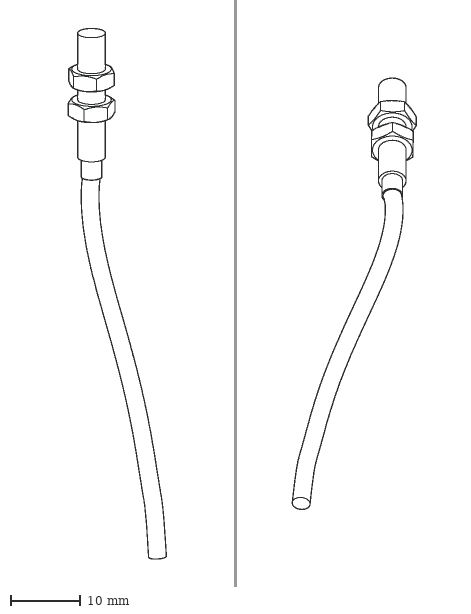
import cadquery as cq
import math


barrel_diameter = 4.0
barrel_length = 19.0
sleeve_diameter = 3.0
sleeve_length = 3.0
sleeve_end_z = -(barrel_length + sleeve_length)

cable_diameter = 2.6
cable_anchor_depth = 0.5
cable_anchor = (0.12, sleeve_end_z + cable_anchor_depth)
cable_end = (16.05, -75.5)
cable_path_points = [
    cable_anchor,
    (0.04, -29.0),
    (5.33, -42.0),
    (12.33, -58.0),
    (14.45, -65.5),
    cable_end,
]
cable_start_slope = 0.28
cable_end_slope = 0.10

nut_across_flats = 6.0
nut_across_corners = nut_across_flats / math.cos(math.radians(30))
nut_thickness = 2.5
nut_face_diameter = 0.95 * nut_across_flats
nut_chamfer_angle = 30.0
upper_nut_top_z = -5.5
nut_gap = 2.2
lower_nut_top_z = upper_nut_top_z - nut_thickness - nut_gap
lower_nut_turn = 6.0
upper_nut_turn = lower_nut_turn + 30.0


def make_cable():
    """Round cable swept along a smooth S-shaped path."""
    path = cq.Workplane("XZ").spline(
        cable_path_points,
        tangents=[(-cable_start_slope, -1.0), (cable_end_slope, -1.0)],
    )
    start_plane = cq.Plane(
        origin=(cable_anchor[0], 0, cable_anchor[1]),
        xDir=(0, 1, 0),
        normal=(-cable_start_slope, 0, -1.0),
    )
    return cq.Workplane(start_plane).circle(cable_diameter / 2).sweep(path)


def make_sensor():
    """Barrel, sleeve and cable as one body."""
    barrel = cq.Workplane("XY").circle(barrel_diameter / 2).extrude(-barrel_length)
    sleeve = (
        cq.Workplane("XY", origin=(0, 0, -barrel_length))
        .circle(sleeve_diameter / 2)
        .extrude(-sleeve_length)
    )
    return barrel.union(sleeve).union(make_cable())


def make_nut(top_z, turn):
    """Hexagon nut with chamfered corners on both faces and a bore that fits the barrel."""
    corner_radius = nut_across_corners / 2
    face_radius = nut_face_diameter / 2
    chamfer_height = (corner_radius - face_radius) * math.tan(math.radians(nut_chamfer_angle))
    hexagon = cq.Workplane("XY").polygon(6, nut_across_corners).extrude(-nut_thickness)
    chamfer_envelope = (
        cq.Workplane("XZ")
        .moveTo(0, 0)
        .lineTo(face_radius, 0)
        .lineTo(corner_radius, -chamfer_height)
        .lineTo(corner_radius, chamfer_height - nut_thickness)
        .lineTo(face_radius, -nut_thickness)
        .lineTo(0, -nut_thickness)
        .close()
        .revolve(360, (0, 0, 0), (0, 1, 0))
    )
    bore = cq.Workplane("XY").circle(barrel_diameter / 2).extrude(-nut_thickness)
    nut = hexagon.intersect(chamfer_envelope).cut(bore)
    return nut.rotate((0, 0, 0), (0, 0, 1), turn).translate((0, 0, top_z))


sensor = make_sensor()
nut_placements = [
    (upper_nut_top_z, upper_nut_turn),
    (lower_nut_top_z, lower_nut_turn),
]
nuts = [make_nut(top_z, turn) for top_z, turn in nut_placements]

result = cq.Compound.makeCompound([sensor.val(), *[nut.val() for nut in nuts]])